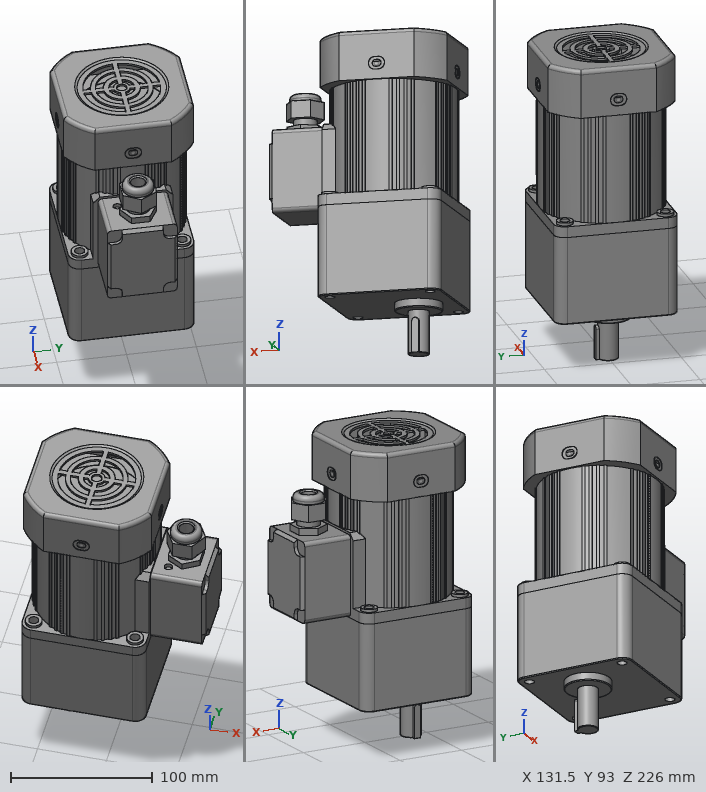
import cadquery as cq
import math


BOSS_BOTTOM = 31.0
CASE_BOTTOM = 37.0
CASE_TOP = 102.0
FLANGE_TOP = 110.0
COVER_BOTTOM = 190.5
COVER_TOP = 226.0

CASE_SIDE = 90.0
CASE_CORNER_RADIUS = 8.0
CASE_EDGE_CHAMFER = 0.7
BOLT_CIRCLE = 104.0
BOLT_SPACING = BOLT_CIRCLE / math.sqrt(2)
BOLT_HOLE = 7.0
BUSH_DIAMETER = 12.0
BUSH_HEIGHT = 2.0
BOSS_DIAMETER = 34.0
BOSS_CHAMFER = 0.7

SHAFT_X = -18.0
SHAFT_DIAMETER = 15.0
SHAFT_CHAMFER = 0.5
SHAFT_SOCKET = 20.0
KEY_WIDTH = 5.0
KEY_LENGTH = 25.0
KEY_PROUD = 2.0
KEY_THICKNESS = 5.0
KEY_END_RADIUS = KEY_WIDTH / 2 - 0.001

BODY_RADIUS = 45.0
RIB_TIP_RADIUS = 45.7
RIB_WIDTH = 2.2
RIB_PITCH = 6.6
RIBS_PER_GROUP = 4
RIB_GROUPS = 8

SADDLE_WIDTH = 57.0
SADDLE_TOP = 164.7
SADDLE_CHAMFER = 4.8

BOX_FACE = CASE_SIDE / 2
BOX_WIDTH = 50.0
BOX_BOTTOM = 103.0
BOX_TOP = 163.0
BOX_EDGE_FILLET = 3.0
BOX_WALL = 3.0
LID_FACE = 85.0
LID_THICKNESS = 2.7
LID_EDGE_INSET = 2.2
LID_NOTCH = 10.3
LID_NOTCH_RADIUS = 5.0
PLUG_HOLE = 5.8
PLUG_HOLE_X = 55.2
PLUG_HOLE_Y = -13.1

GLAND_X = 65.0
GLAND_BASE_CORNERS = 26.5
GLAND_BASE_HEIGHT = 4.9
GLAND_NECK_DIAMETER = 17.0
GLAND_NECK_HEIGHT = 5.2
GLAND_NUT_CORNERS = 28.0
GLAND_NUT_HEIGHT = 12.4
GLAND_DOME_DIAMETER = 22.4
GLAND_DOME_HEIGHT = 5.8
GLAND_DOME_FILLET = 3.8
GLAND_BORE = 10.6
GLAND_BORE_CHAMFER = 1.0

COVER_SIDE = 93.0
COVER_CORNER_RADIUS = 54.0
COVER_WALL = 1.5
COVER_EDGE_FILLET = 3.0
GRILLE_RADIUS = 33.2
GRILLE_FLOOR_RADIUS = 31.5
GRILLE_DEPTH = 1.0
GRILLE_THICKNESS = 1.5
CAVITY_FLOOR = 203.2
FLOOR_PIT_RADIUS = 35.5
FLOOR_PIT_DEPTH = 0.4
VENT_RINGS = [(5.9, 9.2), (13.1, 18.6), (22.1, 27.5)]
VENT_HUB_RADIUS = 3.7
SPOKE_WIDTH = 3.7
SCREW_SEAT_Z = 202.0
SCREW_SEAT_LENGTH = 11.8
SCREW_SEAT_WIDTH = 9.0
SCREW_SEAT_DEPTH = 0.5
SCREW_SLOT_LENGTH = 6.4
SCREW_SLOT_WIDTH = 5.0
SCREW_SLOT_DEPTH = 0.3
SCREW_PIT_DIAMETER = 3.6
SCREW_PIT_DEPTH = 0.5


def cylinder(diameter, bottom, height, x=0.0, y=0.0):
    return cq.Workplane("XY", origin=(x, y, bottom)).circle(diameter / 2).extrude(height)


def block(x_range, y_range, z_range):
    size = [high - low for low, high in (x_range, y_range, z_range)]
    corner = (x_range[0], y_range[0], z_range[0])
    return cq.Workplane("XY", origin=corner).box(*size, centered=False)


def square_plate(bottom, top):
    """Square plate with rounded corners, centred on the motor axis."""
    plate = cq.Workplane("XY", origin=(0, 0, bottom)).rect(CASE_SIDE, CASE_SIDE).extrude(top - bottom)
    return plate.edges("|Z").fillet(CASE_CORNER_RADIUS)


def drill_bolt_holes(body):
    drills = (
        cq.Workplane("XY", origin=(0, 0, CASE_BOTTOM))
        .rect(BOLT_SPACING, BOLT_SPACING, forConstruction=True)
        .vertices()
        .circle(BOLT_HOLE / 2)
        .extrude(COVER_BOTTOM - CASE_BOTTOM)
    )
    return body.cut(drills)


def make_shaft():
    shaft = cylinder(SHAFT_DIAMETER, 0, CASE_BOTTOM + SHAFT_SOCKET, SHAFT_X)
    shaft = shaft.faces("<Z").edges().chamfer(SHAFT_CHAMFER)
    key_top = SHAFT_DIAMETER / 2 + KEY_PROUD
    key = block(
        (SHAFT_X - KEY_WIDTH / 2, SHAFT_X + KEY_WIDTH / 2),
        (key_top - KEY_THICKNESS, key_top),
        (0, KEY_LENGTH),
    )
    key = key.edges("|Y and >Z").fillet(KEY_END_RADIUS)
    return shaft.union(key)


def make_gear_case():
    case = square_plate(CASE_BOTTOM, CASE_TOP).faces("<Z").edges().chamfer(CASE_EDGE_CHAMFER)
    boss = cylinder(BOSS_DIAMETER, BOSS_BOTTOM, CASE_BOTTOM - BOSS_BOTTOM, SHAFT_X)
    boss = boss.faces("<Z").edges().chamfer(BOSS_CHAMFER)
    case = drill_bolt_holes(case.union(boss))
    socket = cylinder(SHAFT_DIAMETER, BOSS_BOTTOM, CASE_BOTTOM + SHAFT_SOCKET - BOSS_BOTTOM, SHAFT_X)
    return case.cut(socket)


def make_ribs():
    half_width = RIB_WIDTH / 2
    rib = block((BODY_RADIUS / 2, RIB_TIP_RADIUS), (-half_width, half_width), (FLANGE_TOP, COVER_BOTTOM))
    group_step = 360 / RIB_GROUPS
    ribs = []
    for group in range(RIB_GROUPS):
        for index in range(RIBS_PER_GROUP):
            offset = (index - (RIBS_PER_GROUP - 1) / 2) * RIB_PITCH
            angle = (group + 1 / 2) * group_step + offset
            ribs.append(rib.rotate((0, 0, 0), (0, 0, 1), angle).val())
    return ribs


def make_motor():
    motor = square_plate(CASE_TOP, FLANGE_TOP)
    bushes = (
        cq.Workplane("XY", origin=(0, 0, FLANGE_TOP))
        .rect(BOLT_SPACING, BOLT_SPACING, forConstruction=True)
        .vertices()
        .circle(BUSH_DIAMETER / 2)
        .extrude(BUSH_HEIGHT)
    )
    body = cylinder(2 * BODY_RADIUS, FLANGE_TOP, COVER_BOTTOM - FLANGE_TOP)
    half_width = SADDLE_WIDTH / 2
    saddle = block((0, BOX_FACE), (-half_width, half_width), (FLANGE_TOP, SADDLE_TOP))
    saddle = saddle.edges("|X and >Z").chamfer(SADDLE_CHAMFER)
    for rib in make_ribs():
        body = body.union(cq.Workplane(rib))
    motor = motor.union(body).union(saddle).union(bushes)
    return drill_bolt_holes(motor)


def cover_outline(bottom, top, inset):
    """Square with the corners rounded off by one large circle about the motor axis."""
    side = COVER_SIDE - 2 * inset
    square = cq.Workplane("XY", origin=(0, 0, bottom)).rect(side, side).extrude(top - bottom)
    return square.intersect(cylinder(2 * (COVER_CORNER_RADIUS - inset), bottom, top - bottom))


def make_vents(bottom, height):
    plane = cq.Workplane("XY", origin=(0, 0, bottom))
    spokes = plane.rect(SPOKE_WIDTH, COVER_SIDE).extrude(height)
    spokes = spokes.union(plane.rect(COVER_SIDE, SPOKE_WIDTH).extrude(height))
    vents = plane.circle(VENT_HUB_RADIUS).extrude(height)
    for inner, outer in VENT_RINGS:
        vents = vents.union(plane.circle(outer).circle(inner).extrude(height).cut(spokes))
    return vents


def make_screw_seat():
    """Oval seat, a smaller oval slot in its floor and a conical pit at the centre, on the -Y face."""
    face = cq.Workplane("XZ", origin=(0, -COVER_SIDE / 2, SCREW_SEAT_Z))
    seat = face.slot2D(SCREW_SEAT_LENGTH, SCREW_SEAT_WIDTH).extrude(-SCREW_SEAT_DEPTH)
    slot_floor = SCREW_SEAT_DEPTH + SCREW_SLOT_DEPTH
    slot = face.slot2D(SCREW_SLOT_LENGTH, SCREW_SLOT_WIDTH).extrude(-slot_floor)
    pit_centre = cq.Vector(0, slot_floor - COVER_SIDE / 2, SCREW_SEAT_Z)
    pit = cq.Solid.makeCone(SCREW_PIT_DIAMETER / 2, 0, SCREW_PIT_DEPTH, pit_centre, cq.Vector(0, 1, 0))
    return seat.union(slot).union(cq.Workplane(pit))


def make_fan_cover():
    cover = cover_outline(COVER_BOTTOM, COVER_TOP, 0).faces(">Z").edges().fillet(COVER_EDGE_FILLET)
    grille_top = COVER_TOP - GRILLE_DEPTH
    cavity_top = grille_top - GRILLE_THICKNESS
    cavity = cover_outline(CAVITY_FLOOR, cavity_top, COVER_WALL)
    cavity = cavity.union(cylinder(2 * FLOOR_PIT_RADIUS, CAVITY_FLOOR - FLOOR_PIT_DEPTH, FLOOR_PIT_DEPTH))
    cover = cover.cut(cavity)
    recess = (
        cq.Workplane("XZ")
        .moveTo(0, grille_top)
        .lineTo(GRILLE_FLOOR_RADIUS, grille_top)
        .lineTo(GRILLE_RADIUS, COVER_TOP)
        .lineTo(0, COVER_TOP)
        .close()
        .revolve(360, (0, 0, 0), (0, 1, 0))
    )
    cover = cover.cut(recess).cut(make_vents(cavity_top, GRILLE_THICKNESS))
    screw_seat = make_screw_seat()
    for side in range(4):
        cover = cover.cut(screw_seat.rotate((0, 0, 0), (0, 0, 1), 90 * side))
    return cover


def make_terminal_box():
    half_width = BOX_WIDTH / 2
    lid_seam = LID_FACE - LID_THICKNESS
    box = block((BOX_FACE, lid_seam), (-half_width, half_width), (BOX_BOTTOM, BOX_TOP))
    box = box.edges("|X").fillet(BOX_EDGE_FILLET)
    middle_z = (BOX_BOTTOM + BOX_TOP) / 2
    lid = (
        cq.Workplane("YZ", origin=(lid_seam, 0, middle_z))
        .rect(BOX_WIDTH, BOX_TOP - BOX_BOTTOM)
        .extrude(LID_THICKNESS, taper=math.degrees(math.atan2(LID_EDGE_INSET, LID_THICKNESS)))
    )
    notches = (
        cq.Workplane("YZ", origin=(lid_seam, 0, middle_z))
        .rect(BOX_WIDTH, BOX_TOP - BOX_BOTTOM, forConstruction=True)
        .vertices()
        .rect(2 * LID_NOTCH, 2 * LID_NOTCH)
        .extrude(LID_THICKNESS)
        .edges("|X")
        .fillet(LID_NOTCH_RADIUS)
    )
    box = box.union(lid.cut(notches))
    return box.cut(cylinder(PLUG_HOLE, BOX_TOP - BOX_WALL, BOX_WALL, PLUG_HOLE_X, PLUG_HOLE_Y))


def hexagon(corners, bottom, height, turn):
    prism = cq.Workplane("XY").polygon(6, corners).extrude(height)
    return prism.rotate((0, 0, 0), (0, 0, 1), turn).translate((GLAND_X, 0, bottom))


def make_cable_gland():
    neck_bottom = BOX_TOP + GLAND_BASE_HEIGHT
    nut_bottom = neck_bottom + GLAND_NECK_HEIGHT
    dome_bottom = nut_bottom + GLAND_NUT_HEIGHT
    dome_top = dome_bottom + GLAND_DOME_HEIGHT
    base = hexagon(GLAND_BASE_CORNERS, BOX_TOP, GLAND_BASE_HEIGHT, 30)
    neck = cylinder(GLAND_NECK_DIAMETER, neck_bottom, GLAND_NECK_HEIGHT, GLAND_X)
    nut = hexagon(GLAND_NUT_CORNERS, nut_bottom, GLAND_NUT_HEIGHT, 0)
    dome = cylinder(GLAND_DOME_DIAMETER, dome_bottom, GLAND_DOME_HEIGHT, GLAND_X)
    dome = dome.faces(">Z").edges().fillet(GLAND_DOME_FILLET)
    bore = cylinder(GLAND_BORE, BOX_TOP, dome_top - BOX_TOP, GLAND_X)
    gland = base.union(neck).union(nut).union(dome).cut(bore)
    rim = gland.faces(">Z").edges(cq.selectors.RadiusNthSelector(0))
    return rim.chamfer(GLAND_BORE_CHAMFER)


result = cq.Compound.makeCompound([
    make_gear_case().val(),
    make_shaft().val(),
    make_motor().val(),
    make_fan_cover().val(),
    make_terminal_box().val(),
    make_cable_gland().val(),
])